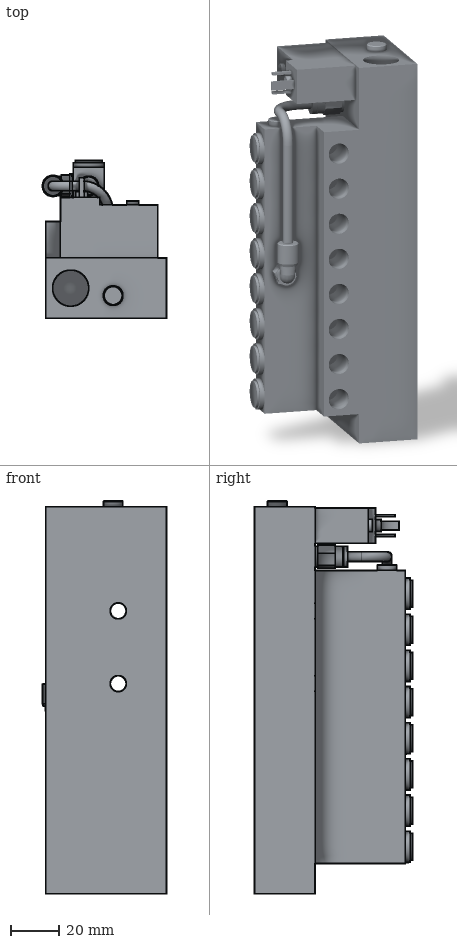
import cadquery as cq
import math

RIGHT = (1, 0, 0)
BACK = (0, 1, 0)
UP = (0, 0, 1)

PLUG_DIA = 8.1
PLUG_TOP_DIA = 7.5
PLUG_HEIGHT = 2.5

BASE_WIDTH = 50.0
BASE_DEPTH = 25.0
OVERALL_HEIGHT = 162.5
BASE_HEIGHT = OVERALL_HEIGHT - PLUG_HEIGHT
SUPPLY_PORT_DIA = 15.0
SUPPLY_PORT_X = 10.4
SUPPLY_PORT_Y = BASE_DEPTH / 2
SUPPLY_PORT_DEPTH = 24.4
MOUNT_HOLE_DIA = 6.5
MOUNT_HOLE_X = 30.0
MOUNT_HOLE_TOP_Z = 117.0
MOUNT_HOLE_PITCH = 30.0

BASE_PLUG_X = 28.0
BASE_PLUG_Y = 9.5
BODY_PLUG_Y = 54.8

STATIONS = 8
STATION_PITCH = 15.0
MANIFOLD_BOTTOM = 12.5
MANIFOLD_TOP = 133.7
MANIFOLD_BACK = 40.1
BODY_CENTER_X = 17.9
BODY_WIDTH = 13.0
BODY_BACK = 62.4
OUTLET_DIA = 8.6
OUTLET_DEPTH = 16.2
OUTLET_Y = 33.8
FIRST_STATION_Z = 19.5
HEAD_DIA = BODY_WIDTH
HEAD_HEIGHT = 2.0
HEAD_CAP_DIA = 11.2
HEAD_CAP_HEIGHT = 1.0

SOLENOID_BOTTOM = 145.0
SOLENOID_HEIGHT = 14.6
SOLENOID_LEFT = 6.2
SOLENOID_STEP_X = 22.5
SOLENOID_RIGHT = 46.5
SOLENOID_BACK = 50.0
SOLENOID_LOW_BACK = 47.0
SOLENOID_CENTER_Z = SOLENOID_BOTTOM + SOLENOID_HEIGHT / 2
BUTTON_DIA = 5.0
BUTTON_X = 36.0
BUTTON_HEIGHT = 1.6
CONNECTOR_DIA = 5.0
CONNECTOR_HEIGHT = 2.3
PRONG_X = 15.0
PRONG_WIDTH = 2.1
PRONG_THICKNESS = 1.0
PRONG_LENGTH = 8.1
PRONG_OFFSET = 4.0
GROUND_PRONG_X = 10.5
GROUND_PRONG_WIDTH = 3.7
GROUND_PRONG_LENGTH = 9.8

TUBE_DIA = 4.0
BEND_RADIUS = 10.7
TUBE_DROP_X = 3.1
TUBE_DROP_Y = 54.8
TUBE_ENTRY_X = 26.0
TUBE_RUN_Z = 139.5

STRAIGHT_DIA = 8.6
STRAIGHT_GROOVE_DIA = 8.0
STRAIGHT_GROOVE_WIDTH = 0.5
STRAIGHT_GROOVE_Y = 36.4
STRAIGHT_END_Y = 38.5
STRAIGHT_HEX_Y = 26.2
STRAIGHT_HEX_LENGTH = 7.2
STRAIGHT_HEX_CORNERS = 10.0
STRAIGHT_HEX_TILT = 15

COLLAR_DIA = 8.8
COLLAR_TOP = 87.0
COLLAR_HEIGHT = 9.5
COLLAR_EDGE = 0.3
COLLAR_TAPER_HEIGHT = 1.1
COLLAR_TAPER_INSET = 0.5
NECK_DIA = 6.5
NECK_BOTTOM = 75.7
ELBOW_DIA = 6.0
ELBOW_Z = 72.3
ELBOW_BEND_RADIUS = 1.5
ELBOW_RING_DIA = 8.0
ELBOW_RING_X = 4.7
ELBOW_HEX_X = 6.5
ELBOW_HEX_LENGTH = 4.0
ELBOW_HEX_CORNERS = 9.5
ELBOW_HEX_TILT = -18


def box(x0, x1, y0, y1, z0, z1):
    """Box between two opposite corners."""
    return cq.Workplane("XY").box(x1 - x0, y1 - y0, z1 - z0, centered=False).translate((x0, y0, z0))


def rod(start, axis, length, diameter):
    """Cylinder from a start point along an axis."""
    return cq.Workplane(cq.Solid.makeCylinder(diameter / 2, length, cq.Vector(*start), cq.Vector(*axis)))


def hexagon(start, axis, length, corners, tilt):
    """Hexagonal prism along an axis, turned about it by the tilt angle from a corner on Z."""
    plane = cq.Plane(origin=start, xDir=(0, 0, 1), normal=axis)
    return cq.Workplane(plane).transformed(rotate=(0, 0, tilt)).polygon(6, corners).extrude(length)


def make_plug(x, y, z):
    """Upright plug with a chamfered top edge, standing on the face at height z."""
    plug = rod((x, y, z), UP, PLUG_HEIGHT, PLUG_DIA)
    return plug.faces(">Z").chamfer((PLUG_DIA - PLUG_TOP_DIA) / 2)


def make_base():
    base = box(0, BASE_WIDTH, 0, BASE_DEPTH, 0, BASE_HEIGHT)
    port_bottom = BASE_HEIGHT - SUPPLY_PORT_DEPTH
    port_start = (SUPPLY_PORT_X, SUPPLY_PORT_Y, port_bottom)
    base = base.cut(rod(port_start, UP, SUPPLY_PORT_DEPTH, SUPPLY_PORT_DIA))
    for z in (MOUNT_HOLE_TOP_Z, MOUNT_HOLE_TOP_Z - MOUNT_HOLE_PITCH):
        base = base.cut(rod((MOUNT_HOLE_X, 0, z), BACK, BASE_DEPTH, MOUNT_HOLE_DIA))
    return base.union(make_plug(BASE_PLUG_X, BASE_PLUG_Y, BASE_HEIGHT))


def make_valves():
    body_left = BODY_CENTER_X - BODY_WIDTH / 2
    body_right = BODY_CENTER_X + BODY_WIDTH / 2
    manifold = box(0, body_right, BASE_DEPTH, MANIFOLD_BACK, MANIFOLD_BOTTOM, MANIFOLD_TOP)
    valves = manifold.union(
        box(body_left, body_right, MANIFOLD_BACK, BODY_BACK, MANIFOLD_BOTTOM, MANIFOLD_TOP)
    )
    for station in range(STATIONS):
        z = FIRST_STATION_Z + station * STATION_PITCH
        valves = valves.cut(rod((0, OUTLET_Y, z), RIGHT, OUTLET_DEPTH, OUTLET_DIA))
        valves = valves.union(rod((BODY_CENTER_X, BODY_BACK, z), BACK, HEAD_HEIGHT, HEAD_DIA))
        cap_start = (BODY_CENTER_X, BODY_BACK + HEAD_HEIGHT, z)
        valves = valves.union(rod(cap_start, BACK, HEAD_CAP_HEIGHT, HEAD_CAP_DIA))
    return valves.union(make_plug(BODY_CENTER_X, BODY_PLUG_Y, MANIFOLD_TOP))


def make_prong(x, z, width, height, length):
    """Flat connector pin centred on x and z."""
    return box(
        x - width / 2, x + width / 2,
        SOLENOID_BACK, SOLENOID_BACK + length,
        z - height / 2, z + height / 2,
    )


def make_solenoid():
    top = SOLENOID_BOTTOM + SOLENOID_HEIGHT
    solenoid = box(SOLENOID_LEFT, SOLENOID_STEP_X, BASE_DEPTH, SOLENOID_BACK, SOLENOID_BOTTOM, top)
    solenoid = solenoid.union(
        box(SOLENOID_STEP_X, SOLENOID_RIGHT, BASE_DEPTH, SOLENOID_LOW_BACK, SOLENOID_BOTTOM, top)
    )
    button_start = (BUTTON_X, SOLENOID_LOW_BACK, SOLENOID_CENTER_Z)
    solenoid = solenoid.union(rod(button_start, BACK, BUTTON_HEIGHT, BUTTON_DIA))
    connector_start = (PRONG_X, SOLENOID_BACK, SOLENOID_CENTER_Z)
    solenoid = solenoid.union(rod(connector_start, BACK, CONNECTOR_HEIGHT, CONNECTOR_DIA))
    for side in (-1, 1):
        z = SOLENOID_CENTER_Z + side * PRONG_OFFSET
        solenoid = solenoid.union(make_prong(PRONG_X, z, PRONG_WIDTH, PRONG_THICKNESS, PRONG_LENGTH))
    ground_prong = make_prong(
        GROUND_PRONG_X, SOLENOID_CENTER_Z, PRONG_THICKNESS, GROUND_PRONG_WIDTH, GROUND_PRONG_LENGTH
    )
    return solenoid.union(ground_prong)


def make_tube():
    """Tube that rises, turns towards +X and then turns towards the base."""
    drop_top = TUBE_RUN_Z - BEND_RADIUS
    run_start = TUBE_DROP_X + BEND_RADIUS
    run_end = TUBE_ENTRY_X - BEND_RADIUS
    entry_start = TUBE_DROP_Y - BEND_RADIUS
    start = (TUBE_DROP_X, TUBE_DROP_Y, COLLAR_TOP)
    drop = rod(start, UP, drop_top - COLLAR_TOP, TUBE_DIA)
    run = rod((run_start, TUBE_DROP_Y, TUBE_RUN_Z), RIGHT, run_end - run_start, TUBE_DIA)
    entry = rod((TUBE_ENTRY_X, STRAIGHT_END_Y, TUBE_RUN_Z), BACK, entry_start - STRAIGHT_END_Y, TUBE_DIA)
    upper_bend = (
        cq.Workplane("XY", origin=(TUBE_DROP_X, TUBE_DROP_Y, drop_top))
        .circle(TUBE_DIA / 2)
        .revolve(90, (BEND_RADIUS, 0), (BEND_RADIUS, 1))
    )
    entry_bend = (
        cq.Workplane("YZ", origin=(run_end, TUBE_DROP_Y, TUBE_RUN_Z))
        .circle(TUBE_DIA / 2)
        .revolve(90, (-BEND_RADIUS, 0), (-BEND_RADIUS, -1))
    )
    return drop.union(upper_bend).union(run).union(entry_bend).union(entry)


def make_straight_fitting():
    x, z = TUBE_ENTRY_X, TUBE_RUN_Z
    groove_end = STRAIGHT_GROOVE_Y + STRAIGHT_GROOVE_WIDTH
    fitting = rod((x, BASE_DEPTH, z), BACK, STRAIGHT_GROOVE_Y - BASE_DEPTH, STRAIGHT_DIA)
    fitting = fitting.union(
        rod((x, STRAIGHT_GROOVE_Y, z), BACK, STRAIGHT_GROOVE_WIDTH, STRAIGHT_GROOVE_DIA)
    )
    fitting = fitting.union(rod((x, groove_end, z), BACK, STRAIGHT_END_Y - groove_end, STRAIGHT_DIA))
    return fitting.union(
        hexagon((x, STRAIGHT_HEX_Y, z), BACK, STRAIGHT_HEX_LENGTH, STRAIGHT_HEX_CORNERS, STRAIGHT_HEX_TILT)
    )


def make_elbow_bend():
    """Tight quarter bend; only the part of the round section outside the bend axis is swept."""
    radius = ELBOW_DIA / 2
    half_chord = math.sqrt(radius**2 - ELBOW_BEND_RADIUS**2)
    return (
        cq.Workplane("XY", origin=(TUBE_DROP_X, TUBE_DROP_Y, ELBOW_Z + ELBOW_BEND_RADIUS))
        .moveTo(ELBOW_BEND_RADIUS, -half_chord)
        .threePointArc((-radius, 0), (ELBOW_BEND_RADIUS, half_chord))
        .close()
        .revolve(90, (ELBOW_BEND_RADIUS, 1.6), (ELBOW_BEND_RADIUS, 0))
    )


def make_collar():
    """Collar round the tube, with a broken top edge and a steep taper at the bottom."""
    radius = COLLAR_DIA / 2
    bottom = COLLAR_TOP - COLLAR_HEIGHT
    profile = [
        (0, bottom),
        (radius - COLLAR_TAPER_INSET, bottom),
        (radius, bottom + COLLAR_TAPER_HEIGHT),
        (radius, COLLAR_TOP - COLLAR_EDGE),
        (radius - COLLAR_EDGE, COLLAR_TOP),
        (0, COLLAR_TOP),
    ]
    collar = cq.Workplane("XZ").polyline(profile).close().revolve(360, (0, 0), (0, 1))
    return collar.translate((TUBE_DROP_X, TUBE_DROP_Y, 0))


def make_elbow_fitting():
    x, y = TUBE_DROP_X, TUBE_DROP_Y
    collar_bottom = COLLAR_TOP - COLLAR_HEIGHT
    bend_top = ELBOW_Z + ELBOW_BEND_RADIUS
    stem_start = x + ELBOW_BEND_RADIUS
    body_left = BODY_CENTER_X - BODY_WIDTH / 2
    neck = rod((x, y, NECK_BOTTOM), UP, collar_bottom - NECK_BOTTOM, NECK_DIA)
    riser = rod((x, y, bend_top), UP, NECK_BOTTOM - bend_top, ELBOW_DIA)
    stem = rod((stem_start, y, ELBOW_Z), RIGHT, body_left - stem_start, ELBOW_DIA)
    ring = rod((ELBOW_RING_X, y, ELBOW_Z), RIGHT, body_left - ELBOW_RING_X, ELBOW_RING_DIA)
    nut = hexagon((ELBOW_HEX_X, y, ELBOW_Z), RIGHT, ELBOW_HEX_LENGTH, ELBOW_HEX_CORNERS, ELBOW_HEX_TILT)
    fitting = make_collar().union(neck).union(riser).union(make_elbow_bend())
    return fitting.union(stem).union(ring).union(nut)


result = (
    make_base()
    .union(make_valves())
    .union(make_solenoid())
    .union(make_straight_fitting())
    .union(make_elbow_fitting())
    .union(make_tube())
)